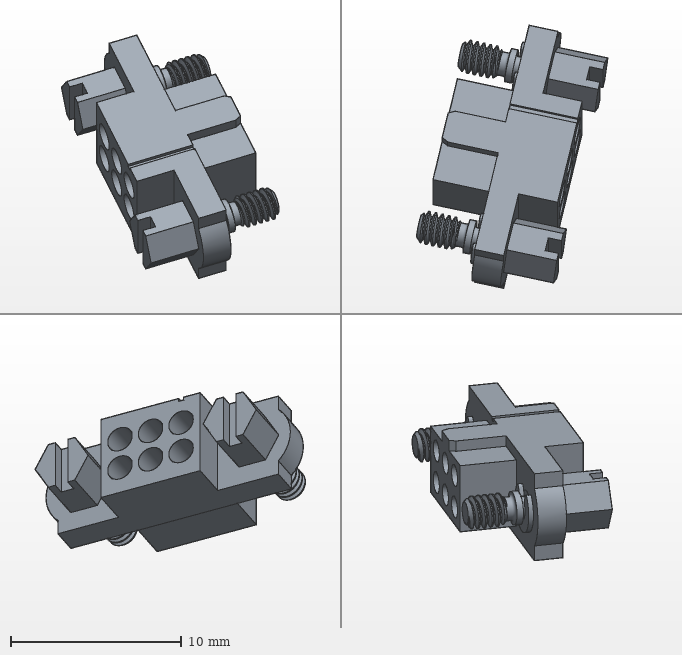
import cadquery as cq
import math


total_length = 16.0
housing_height = 5.5
screw_spacing = 11.0
flange_length = 14.43
flange_thickness = 1.75
ear_radius = (total_length - screw_spacing) / 2
block_width = 6.5
front_depth = 2.35
rear_depth = 3.42
rear_height = 4.2
key_width = 1.98
key_tip_width = 1.57
key_taper_length = 0.38
key_height = (housing_height - rear_height) / 2

hole_pitch = 2.0
hole_diameter = 1.3
counterbore_diameter = 1.6
hole_columns = 3
hole_rows = 2

groove_width = 0.3
groove_depth = 0.2

head_flats = 3.0
head_corners = head_flats / math.cos(math.pi / 6)
head_length = 3.0
driver_slot_width = 0.82
driver_slot_depth = 0.8
shoulder_diameter = 2.0
shoulder_radius = shoulder_diameter / 2
neck_radius = 0.62
neck_length = 0.46
neck_fillet = 0.08
collar_end = 0.86
shaft_radius = 0.7
shaft_fillet = 0.18
thread_start = 1.35
thread_end = 3.75
thread_radius = 0.98
thread_pitch = 0.4
thread_crest_width = 0.08
thread_root_width = 0.37
tip_radius = 0.67
first_crest = 1.35
thread_overlap = 0.05
seam_angle = 40.0

ring_thickness = 0.29
ring_radius = 1.5
ring_bore_radius = neck_radius + neck_fillet
ring_throat_half_width = 0.5
ring_wall_top_x = 0.7
ring_wall_top_z = 0.95
ring_end_top_x = 0.96
ring_end_top_z = 1.1
ring_end_rim_x = 1.14

flange_back = flange_thickness
screw_positions = [-screw_spacing / 2, screw_spacing / 2]


def box_between(width, y_front, y_back, z_low, z_high):
    """Box centred on X = 0 between the given Y and Z limits."""
    box = cq.Workplane("XY").box(width, y_back - y_front, z_high - z_low, centered=(True, False, False))
    return box.translate((0, y_front, z_low))


def y_cylinder(radius, x, z, y_front, y_back):
    """Cylinder parallel to Y."""
    return cq.Workplane("XZ", origin=(x, y_front, z)).circle(radius).extrude(y_front - y_back)


def make_key():
    """Polarising key on top of the rear block, tapered at its free end."""
    key_back = flange_back + rear_depth
    taper_start = key_back - key_taper_length
    outline = [
        (-key_width / 2, flange_back),
        (key_width / 2, flange_back),
        (key_width / 2, taper_start),
        (key_tip_width / 2, key_back),
        (-key_tip_width / 2, key_back),
        (-key_width / 2, taper_start),
    ]
    return cq.Workplane("XY", origin=(0, 0, rear_height / 2)).polyline(outline).close().extrude(key_height)


def make_housing():
    half_height = housing_height / 2
    rear_end = flange_back + rear_depth
    body = box_between(flange_length, 0, flange_back, -half_height, half_height)
    body = body.union(box_between(block_width, -front_depth, flange_back, -half_height, half_height))
    body = body.union(box_between(block_width, 0, rear_end, -rear_height / 2, rear_height / 2))
    body = body.union(make_key())
    for x in screw_positions:
        body = body.union(y_cylinder(ear_radius, x, 0, 0, flange_back))
    for x in screw_positions:
        body = body.cut(y_cylinder(shoulder_radius, x, 0, 0, flange_back))

    for column in range(hole_columns):
        for row in range(hole_rows):
            x = (column - (hole_columns - 1) / 2) * hole_pitch
            z = (row - (hole_rows - 1) / 2) * hole_pitch
            body = body.cut(y_cylinder(hole_diameter / 2, x, z, -front_depth, rear_end))
            body = body.cut(y_cylinder(counterbore_diameter / 2, x, z, -front_depth, 0))

    groove = box_between(groove_width, -front_depth, flange_back, half_height - groove_depth, half_height)
    return body.cut(groove.translate((hole_pitch, 0, 0)))


def make_head():
    """Hexagonal head with a driver slot, in front of the flange."""
    head = cq.Workplane("XZ").polygon(6, head_corners).extrude(head_length)
    slot = box_between(
        driver_slot_width, -head_length, driver_slot_depth - head_length, -head_flats / 2, head_flats / 2
    )
    return head.cut(slot)


def fillet_middle(center_x, center_y, radius, degrees):
    """Point at the given angle on a fillet arc."""
    angle = math.radians(degrees)
    return (center_x + radius * math.cos(angle), center_y + radius * math.sin(angle))


def make_shank():
    """Turned shoulder, ring groove, collar and plain shaft up to the thread."""
    neck_start = flange_back
    neck_end = flange_back + neck_length
    collar_back = flange_back + collar_end
    neck_center_radius = neck_radius + neck_fillet
    shaft_center_radius = shaft_radius + shaft_fillet
    front_fillet_angle = 225
    back_fillet_angle = 135
    return (
        cq.Workplane("XY")
        .lineTo(shoulder_radius, 0)
        .lineTo(shoulder_radius, neck_start)
        .lineTo(neck_center_radius, neck_start)
        .threePointArc(
            fillet_middle(neck_center_radius, neck_start + neck_fillet, neck_fillet, front_fillet_angle),
            (neck_radius, neck_start + neck_fillet),
        )
        .lineTo(neck_radius, neck_end - neck_fillet)
        .threePointArc(
            fillet_middle(neck_center_radius, neck_end - neck_fillet, neck_fillet, back_fillet_angle),
            (neck_center_radius, neck_end),
        )
        .lineTo(shoulder_radius, neck_end)
        .lineTo(shoulder_radius, collar_back)
        .lineTo(shaft_center_radius, collar_back)
        .threePointArc(
            fillet_middle(shaft_center_radius, collar_back + shaft_fillet, shaft_fillet, front_fillet_angle),
            (shaft_radius, collar_back + shaft_fillet),
        )
        .lineTo(shaft_radius, flange_back + thread_start)
        .lineTo(0, flange_back + thread_start)
        .close()
        .revolve(360, (0, 0, 0), (0, 1, 0))
    )


def make_ridge(length):
    """Helical ridge around Z with a trapezoidal section, starting centred on Z = 0."""
    root_radius = shaft_radius - thread_overlap
    section = [
        (root_radius, -thread_root_width / 2),
        (thread_radius, -thread_crest_width / 2),
        (thread_radius, thread_crest_width / 2),
        (root_radius, thread_root_width / 2),
    ]
    edges = [
        cq.Wire.makeHelix(thread_pitch, length, radius).translate((0, 0, z)).Edges()[0]
        for radius, z in section
    ]
    faces = [cq.Face.makeRuledSurface(edges[i - 1], edges[i]) for i in range(len(edges))]
    for corners in ([edge.startPoint() for edge in edges], [edge.endPoint() for edge in edges]):
        faces.append(cq.Face.makeFromWires(cq.Wire.makePolygon(corners, close=True)))
    return cq.Workplane(obj=cq.Solid.makeSolid(cq.Shell.makeShell(faces)))


def make_thread():
    """Right-handed thread with 45 degree chamfers at both ends."""
    ridge_start = first_crest - thread_pitch
    ridge_length = thread_end + thread_pitch - ridge_start
    ridge = make_ridge(ridge_length).rotate((0, 0, 0), (1, 0, 0), -90)
    ridge = ridge.translate((0, flange_back + ridge_start, 0))
    start = flange_back + thread_start
    end = flange_back + thread_end
    envelope = (
        cq.Workplane("XY")
        .polyline(
            [
                (0, start),
                (shaft_radius, start),
                (thread_radius, start + thread_radius - shaft_radius),
                (thread_radius, end - thread_radius + tip_radius),
                (tip_radius, end),
                (0, end),
            ]
        )
        .close()
        .revolve(360, (0, 0, 0), (0, 1, 0))
    )
    core = y_cylinder(shaft_radius, 0, 0, start, end)
    core = core.rotate((0, 0, 0), (0, 1, 0), seam_angle)
    envelope = envelope.rotate((0, 0, 0), (0, 1, 0), seam_angle)
    return core.union(ridge, clean=False).intersect(envelope, clean=False)


def make_jackscrew(x):
    screw = make_head().union(make_shank()).union(make_thread())
    return screw.translate((x, 0, 0))


def make_snap_ring(x):
    """Open ring around the neck, with a flared throat and rounded ends facing up."""
    rim_z = math.sqrt(ring_radius**2 - ring_end_rim_x**2)
    throat_z = math.sqrt(ring_bore_radius**2 - ring_throat_half_width**2)
    return (
        cq.Workplane("XZ", origin=(x, flange_back, 0))
        .moveTo(ring_end_rim_x, rim_z)
        .threePointArc((0, -ring_radius), (-ring_end_rim_x, rim_z))
        .threePointArc((-ring_end_top_x, ring_end_top_z), (-ring_wall_top_x, ring_wall_top_z))
        .lineTo(-ring_throat_half_width, throat_z)
        .threePointArc((0, -ring_bore_radius), (ring_throat_half_width, throat_z))
        .lineTo(ring_wall_top_x, ring_wall_top_z)
        .threePointArc((ring_end_top_x, ring_end_top_z), (ring_end_rim_x, rim_z))
        .close()
        .extrude(-ring_thickness)
    )


housing = make_housing()
jackscrews = [make_jackscrew(x) for x in screw_positions]
snap_rings = [make_snap_ring(x) for x in screw_positions]

result = cq.Compound.makeCompound(
    [housing.val()] + [screw.val() for screw in jackscrews] + [ring.val() for ring in snap_rings]
)